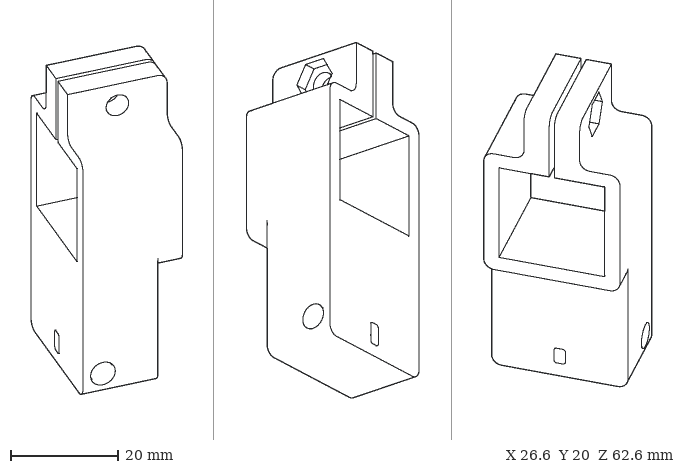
import cadquery as cq

width = 26.6
depth = 20.0
height = 62.6
lower_depth = 15.0
step_height = 25.5
shoulder_height = 52.1
edge_radius = 2.0

wall = 3.0
window_size = width - 2 * wall
window_top = shoulder_height - wall
neck_width = 10.9
split_width = 1.0

screw_diameter = 4.5
screw_y = depth / 2
screw_z = height - 4.7
nut_corner_diameter = 8.45
nut_depth = 2.5

bore_diameter = 4.6
bore_mouth_diameter = 4.95
bore_mouth_depth = 0.6
bore_y = 4.0
bore_z = 4.6
slot_width = 2.25
slot_height = 4.3
slot_corner = 0.55
rear_slot_height = 3.4


def block(x_size, y_size, bottom, top):
    """Box centred in X, standing behind the front face."""
    return cq.Workplane("XY").box(x_size, y_size, top - bottom, centered=(True, False, False)).translate(
        (0, 0, bottom)
    )


def body():
    lower = block(width, lower_depth, 0, shoulder_height).edges("|Y").fillet(edge_radius)
    clamp = block(width, depth, step_height, shoulder_height).edges("|Y").fillet(edge_radius)
    neck = block(neck_width, depth, window_top, height).edges(">Y and >Z").fillet(edge_radius)
    return lower.union(clamp).union(neck)


def neck_fillet(side):
    """Concave fillet between the neck and one shoulder."""
    neck_x = side * neck_width / 2
    fillet_corner = (
        cq.Workplane("XY")
        .box(edge_radius, depth, edge_radius, centered=(True, False, False))
        .translate((neck_x + side * edge_radius / 2, 0, shoulder_height))
    )
    relief = (
        cq.Workplane("XZ", origin=(neck_x + side * edge_radius, 0, shoulder_height + edge_radius))
        .circle(edge_radius)
        .extrude(-depth)
    )
    return fillet_corner.cut(relief)


def clamp_opening():
    window = block(window_size, depth, window_top - window_size, window_top)
    split = block(split_width, depth, window_top, height)
    return window.union(split)


def clamp_screw():
    hole = (
        cq.Workplane("YZ", origin=(-width / 2, screw_y, screw_z))
        .circle(screw_diameter / 2)
        .extrude(width)
    )
    nut_pocket = (
        cq.Workplane("YZ", origin=(-neck_width / 2, screw_y, screw_z))
        .polygon(6, nut_corner_diameter)
        .extrude(nut_depth)
    )
    return hole.union(nut_pocket)


def cross_bore():
    """Bore along X, flared slightly at both mouths."""
    half = width / 2
    throat_x = half - bore_mouth_depth
    return (
        cq.Workplane("XY", origin=(0, bore_y, bore_z))
        .moveTo(-half, 0)
        .lineTo(-half, bore_mouth_diameter / 2)
        .lineTo(-throat_x, bore_diameter / 2)
        .lineTo(throat_x, bore_diameter / 2)
        .lineTo(half, bore_mouth_diameter / 2)
        .lineTo(half, 0)
        .close()
        .revolve(360, (0, 0, 0), (1, 0, 0))
    )


def slot(start_y, end_y, opening_height):
    """Rounded slot running along Y through the bore centre height."""
    return (
        cq.Workplane("XZ", origin=(0, start_y, bore_z))
        .rect(slot_width, opening_height)
        .extrude(start_y - end_y)
        .edges("|Y")
        .fillet(slot_corner)
    )


result = body()
for side in (-1, 1):
    result = result.union(neck_fillet(side))
result = (
    result.cut(clamp_opening())
    .cut(clamp_screw())
    .cut(cross_bore())
    .cut(slot(0, bore_y, slot_height))
    .cut(slot(bore_y, lower_depth, rear_slot_height))
)